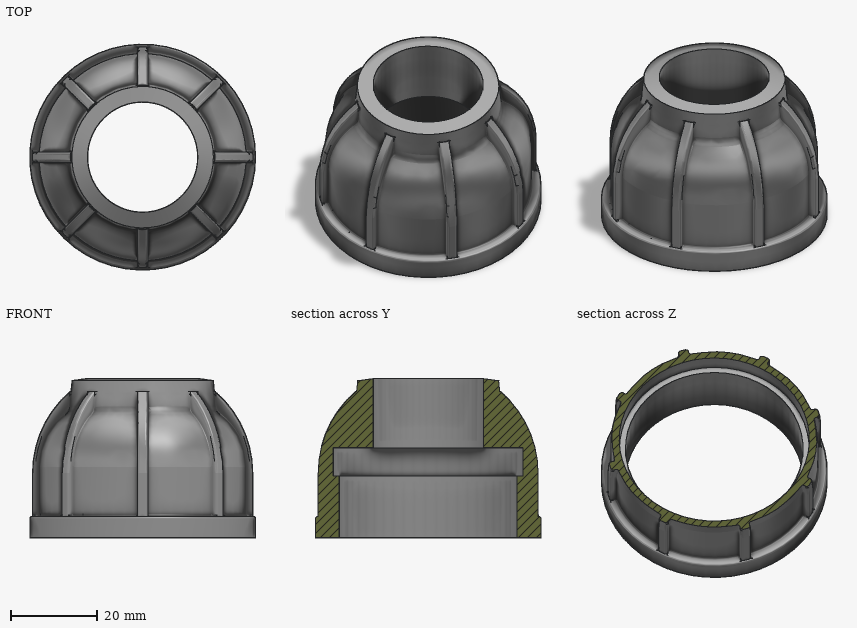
import cadquery as cq
import math

height = 37.0
flange_radius = 26.2
flange_height = 5.0
flange_round = 0.5

body_radius = 24.0
body_top_z = 16.4
base_fillet = 0.5
dome_radius = 15.3
neck_fillet = 2.6
collar_base_radius = 17.1
collar_top_radius = 16.4
collar_top_z = 36.5

bore_radius = 12.75
bore_bottom_z = 20.9
relief_radius = 22.0
mouth_radius = 20.6
mouth_top_z = 14.4

rib_count = 8
rib_width = 2.4
rib_radius = 25.55
rib_arc_start_z = 15.0
rib_arc_radius = 24.9
rib_top_z = 34.0
rib_round = 0.6
rib_root_fillet = 0.35
rib_core_radius = 15.0


def arc_radius_at(z, arc_radius, start_radius, start_z):
    """Distance from the axis of an arc that leaves (start_radius, start_z) vertically."""
    return start_radius - arc_radius + math.sqrt(arc_radius**2 - (z - start_z) ** 2)


def revolve(profile):
    """Turn an XZ profile once around the Z axis."""
    return profile.revolve(360, (0, 0, 0), (0, 1, 0))


def edges_on_level(shape, z, radius):
    """Edges of a revolved shape that lie at height z within the given radius."""
    margin = 0.1
    box = cq.selectors.BoxSelector(
        (-radius - margin, -radius - margin, z - margin),
        (radius + margin, radius + margin, z + margin),
        boundingbox=True,
    )
    return shape.edges(box)


def make_shell():
    """Solid of revolution: flange, cylinder, dome, collar and a shallow conical top."""
    dome_centre = body_radius - dome_radius
    neck_z = body_top_z + math.sqrt(dome_radius**2 - (collar_base_radius - dome_centre) ** 2)
    dome_mid_z = (body_top_z + neck_z) / 2
    dome_mid = arc_radius_at(dome_mid_z, dome_radius, body_radius, body_top_z)
    shell = revolve(
        cq.Workplane("XZ")
        .lineTo(flange_radius, 0)
        .lineTo(flange_radius, flange_height)
        .lineTo(body_radius, flange_height)
        .lineTo(body_radius, body_top_z)
        .threePointArc((dome_mid, dome_mid_z), (collar_base_radius, neck_z))
        .lineTo(collar_top_radius, collar_top_z)
        .lineTo(bore_radius, height)
        .lineTo(0, height)
        .close()
    )
    shell = edges_on_level(shell, neck_z, collar_base_radius).fillet(neck_fillet)
    shell = edges_on_level(shell, flange_height, body_radius).fillet(base_fillet)
    rim = cq.selectors.RadiusNthSelector(-1)
    return edges_on_level(shell, flange_height, flange_radius).edges(rim).fillet(flange_round)


def rib_outline(side_radius):
    """Closed XZ outline between the rib's outer edge and a vertical line at side_radius."""
    mid_z = (rib_arc_start_z + rib_top_z) / 2
    mid = arc_radius_at(mid_z, rib_arc_radius, rib_radius, rib_arc_start_z)
    end = arc_radius_at(rib_top_z, rib_arc_radius, rib_radius, rib_arc_start_z)
    return (
        cq.Workplane("XZ")
        .moveTo(side_radius, flange_height)
        .lineTo(rib_radius, flange_height)
        .lineTo(rib_radius, rib_arc_start_z)
        .threePointArc((mid, mid_z), (end, rib_top_z))
        .lineTo(side_radius, rib_top_z)
        .close()
    )


def make_rib_corners():
    """The two slivers removed from a square rib to round its outer long edges."""
    square_rib = rib_outline(rib_core_radius).extrude(rib_width / 2, both=True)
    outer_face = square_rib.faces(">X").add(square_rib.faces("%CYLINDER"))
    rounded_rib = outer_face.edges("not |Y").fillet(rib_round)
    return square_rib.cut(rounded_rib)


def around_axis(shape):
    """Copies of a +X shape at every rib position."""
    step = 360 / rib_count
    return [shape.rotate((0, 0, 0), (0, 0, 1), step * index) for index in range(rib_count)]


def is_root_edge(edge, inner_radius, outer_radius):
    """True for an edge where the side of a rib slab meets the shell."""
    tolerance = 0.01
    centre = edge.Center()
    step = 2 * math.pi / rib_count
    angle = math.atan2(centre.y, centre.x)
    offset = angle - step * round(angle / step)
    distance = math.hypot(centre.x, centre.y)
    along = distance * math.cos(offset)
    across = distance * abs(math.sin(offset))
    on_side = math.isclose(across, rib_width / 2, abs_tol=tolerance)
    between_ends = inner_radius < along < outer_radius - tolerance
    return on_side and between_ends and centre.z < rib_top_z - tolerance


def add_ribs(shell):
    """Add the ribs with filleted roots, then trim them to their outline and round them."""
    flange_flat_radius = flange_radius - flange_round
    slab_end = (flange_flat_radius + rib_radius) / 2
    slab = cq.Workplane("XY", origin=(rib_core_radius, 0, 0)).box(
        slab_end - rib_core_radius, rib_width, rib_top_z, centered=(False, True, False)
    )
    body = shell
    for rib_slab in around_axis(slab):
        body = body.union(rib_slab)
    root_edges = [edge for edge in body.edges().vals() if is_root_edge(edge, rib_core_radius, slab_end)]
    body = body.newObject(root_edges).fillet(rib_root_fillet)
    trimmings = [rib_outline(flange_radius).extrude(rib_width, both=True), make_rib_corners()]
    for trimming in trimmings:
        for piece in around_axis(trimming):
            body = body.cut(piece)
    return body


def make_cavity():
    """Pipe bore opening into the relief and the mouth."""
    return revolve(
        cq.Workplane("XZ")
        .lineTo(mouth_radius, 0)
        .lineTo(mouth_radius, mouth_top_z)
        .lineTo(relief_radius, mouth_top_z)
        .lineTo(relief_radius, bore_bottom_z)
        .lineTo(bore_radius, bore_bottom_z)
        .lineTo(bore_radius, height)
        .lineTo(0, height)
        .close()
    )


result = add_ribs(make_shell()).cut(make_cavity())